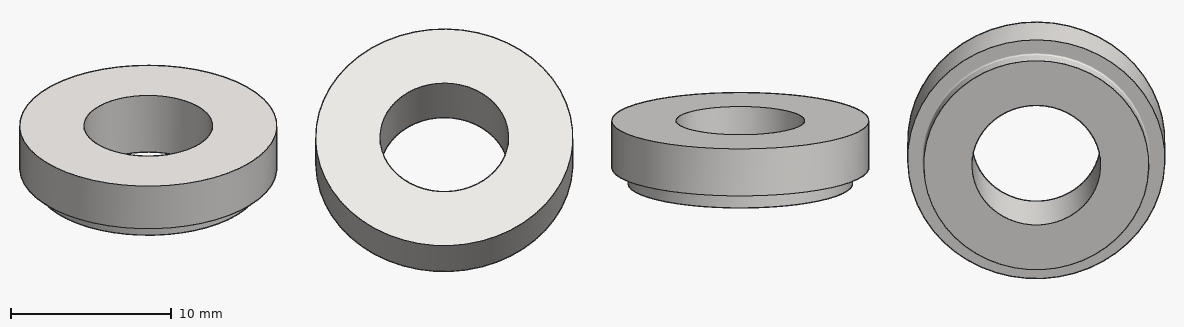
import cadquery as cq

outer_diameter = 16.0
bore_diameter = 8.0
step_diameter = 14.0
total_height = 4.0
step_height = total_height / 4
corner_radius = 0.1

outer_radius = outer_diameter / 2
bore_radius = bore_diameter / 2
step_radius = step_diameter / 2

fillet_x = step_radius + corner_radius
fillet_z = step_height - corner_radius
arc_offset = corner_radius / 2**0.5

section = (
    cq.Workplane("XZ")
    .moveTo(bore_radius, 0)
    .lineTo(step_radius, 0)
    .lineTo(step_radius, fillet_z)
    .threePointArc(
        (fillet_x - arc_offset, fillet_z + arc_offset),
        (fillet_x, step_height),
    )
    .lineTo(outer_radius, step_height)
    .lineTo(outer_radius, total_height)
    .lineTo(bore_radius, total_height)
    .close()
)

result = section.revolve(360, (0, 0, 0), (0, 1, 0))